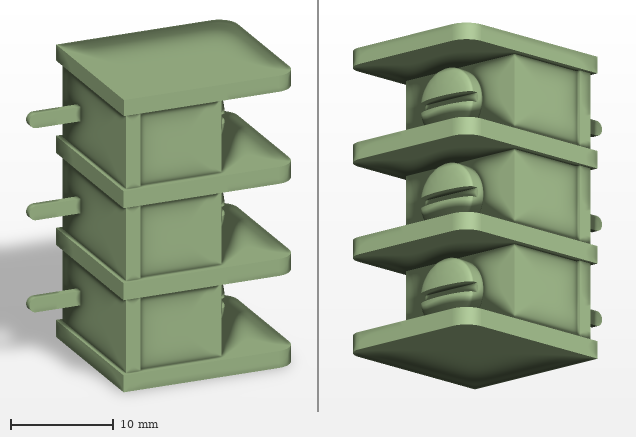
import cadquery as cq

way_count = 3
total_height = 30.57
plate_width = 16.5
plate_depth = 18.53
plate_thickness = 1.77
cap_thickness = 1.68
cap_setback = 0.03
plate_corner_radius = 2.0

foot_inset = 0.5
foot_back = 2.02
body_side_inset = 0.95
body_back = 10.82

pin_width = 0.8
pin_height = 1.5
pin_length = 4.98
pin_center_x = -3.73

shank_diameter = 3.97
head_diameter = 7.03
head_height = 2.48
head_gap = 0.25
lower_base_round = 0.25
top_base_round = 0.5
dome_height = 0.95
slot_width = 1.0
slot_depth = 1.53

pitch = (total_height - cap_thickness) / way_count
head_base_y = body_back + head_gap
head_top_y = head_base_y + head_height


def block(width, front_y, back_y, height):
    """Box centred on X, standing on Z = 0, between two Y positions."""
    return cq.Workplane("XY").box(
        width, back_y - front_y, height, centered=(True, False, False)
    ).translate((0, front_y, 0))


def partition_plate(base_z, front_y, thickness):
    """Partition with its two rear corners rounded."""
    plate = block(plate_width, front_y, plate_depth, thickness)
    plate = plate.edges("|Z and >Y").fillet(plate_corner_radius)
    return plate.translate((0, 0, base_z))


def pin(center_z):
    """Flat solder pin with a half-round tip, rooted in the foot."""
    tip_radius = pin_height / 2
    return (
        cq.Workplane("YZ", origin=(pin_center_x - pin_width / 2, 0, center_z))
        .moveTo(foot_inset, tip_radius)
        .lineTo(tip_radius - pin_length, tip_radius)
        .threePointArc((-pin_length, 0), (tip_radius - pin_length, -tip_radius))
        .lineTo(foot_inset, -tip_radius)
        .close()
        .extrude(pin_width)
    )


def screw(center_z, base_round):
    """Screw on the rear face, with an elliptical dome and a driver slot along X."""
    shank_radius = shank_diameter / 2
    head_radius = head_diameter / 2
    dome_base_y = head_top_y - dome_height
    turned = (
        cq.Workplane("XY")
        .moveTo(0, body_back)
        .lineTo(shank_radius, body_back)
        .lineTo(shank_radius, head_base_y)
        .lineTo(head_radius - base_round, head_base_y)
        .radiusArc((head_radius, head_base_y + base_round), -base_round)
        .lineTo(head_radius, dome_base_y)
        .ellipseArc(head_radius, dome_height, 0, 90)
        .close()
        .revolve(360, (0, 0, 0), (0, 1, 0))
    )
    slot = block(head_diameter, head_top_y - slot_depth, head_top_y, slot_width)
    slot = slot.translate((0, 0, -slot_width / 2))
    return turned.cut(slot).translate((0, 0, center_z))


foot = block(plate_width - 2 * foot_inset, foot_inset, foot_back, total_height)
body = block(plate_width - 2 * body_side_inset, foot_back, body_back, total_height)
result = foot.union(body)

for way_index in range(way_count):
    result = result.union(partition_plate(way_index * pitch, 0, plate_thickness))
result = result.union(partition_plate(way_count * pitch, cap_setback, cap_thickness))

for way_index in range(way_count):
    way_center_z = way_index * pitch + (plate_thickness + pitch) / 2
    result = result.union(pin(way_center_z))
    base_round = top_base_round if way_index == way_count - 1 else lower_base_round
    result = result.union(screw(way_center_z, base_round))